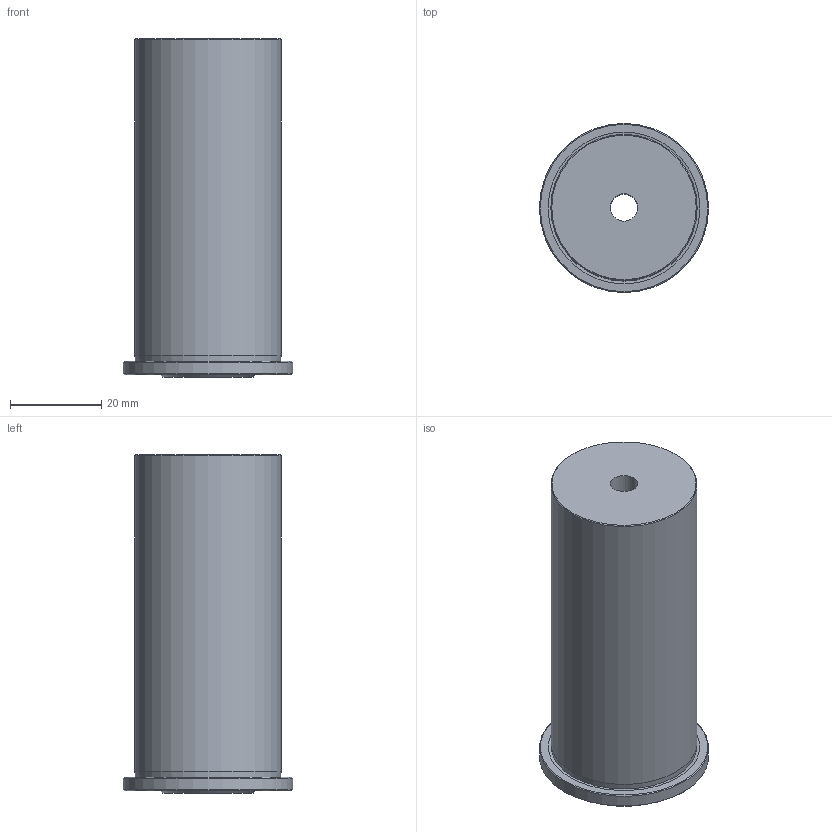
import cadquery as cq

total_height = 74.0
body_diameter = 32.0
flange_diameter = 37.0
flange_thickness = 3.0
boss_tip_diameter = 20.0
boss_height = 0.5
bore_diameter = 6.0
edge_chamfer = 0.2

relief_depth = 0.1
relief_length = 1.2
relief_outer_diameter = 33.2

body_radius = body_diameter / 2
flange_radius = flange_diameter / 2
boss_tip_radius = boss_tip_diameter / 2
bore_radius = bore_diameter / 2
flange_top = boss_height + flange_thickness


def make_turned_body():
    """Revolve the half section, given as (radius, height), about the Z axis."""
    section = (
        cq.Workplane("XZ")
        .moveTo(bore_radius, 0)
        .lineTo(boss_tip_radius, 0)
        .lineTo(boss_tip_radius + boss_height, boss_height)
        .lineTo(flange_radius - edge_chamfer, boss_height)
        .lineTo(flange_radius, boss_height + edge_chamfer)
        .lineTo(flange_radius, flange_top - edge_chamfer)
        .lineTo(flange_radius - edge_chamfer, flange_top)
        .lineTo(relief_outer_diameter / 2, flange_top)
        .lineTo(body_radius - relief_depth, flange_top - relief_depth)
        .lineTo(body_radius, flange_top + relief_length)
        .lineTo(body_radius, total_height - edge_chamfer)
        .lineTo(body_radius - edge_chamfer, total_height)
        .lineTo(bore_radius, total_height)
        .close()
    )
    return section.revolve(360, (0, 0, 0), (0, 1, 0))


result = make_turned_body()